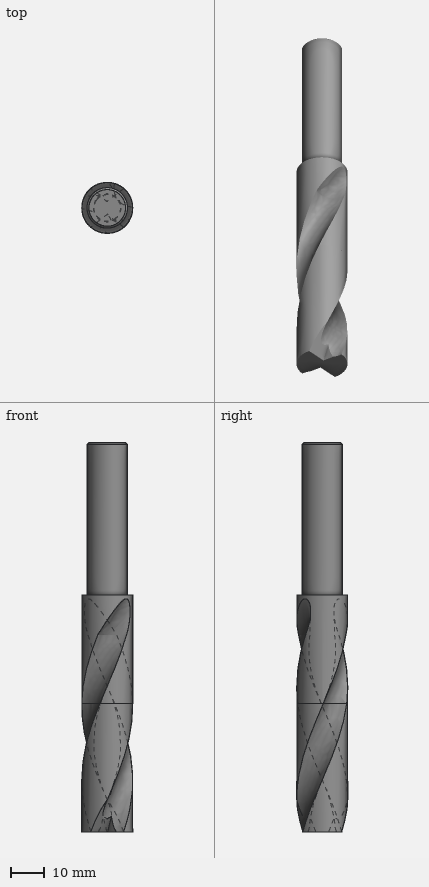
import cadquery as cq
import math

TOTAL_LENGTH = 115.0
DRILL_DIAMETER = 15.1
SHANK_DIAMETER = 12.0
SHOULDER_HEIGHT = 70.0
TIP_LENGTH = 38.0
SHANK_CHAMFER = 0.6

FLUTE_COUNT = 2
FLUTE_LEAD = 110.9
FLUTE_RADIUS = 5.4
CORE_RADIUS = 3.9
FLUTE_CENTER = CORE_RADIUS + FLUTE_RADIUS
FRONT_FACING_HEIGHT = 54.0
HELIX_TOP = 58.2
RUNOUT_TOP = 68.8
RUNOUT_CENTER = 12.9
OVERCUT = 1.2

GASH_TOP = 10.4
GASH_VALLEY = (0.1, -1.8)
GASH_LEAN = (0.24, -0.4)
GASH_LONG_WALL = (-10.4, -8.0)
GASH_SHORT_WALL = (2.9, -2.6)


def flute_angle(height):
    """Direction of the first flute, in degrees from +X, at a given height."""
    return 360.0 * (height - FRONT_FACING_HEIGHT) / FLUTE_LEAD - 90.0


def cutter_center(height, distance):
    angle = math.radians(flute_angle(height))
    return distance * math.cos(angle), distance * math.sin(angle)


def flute_helix():
    """Constant-depth part of a flute."""
    start = -OVERCUT
    length = HELIX_TOP - start
    twist = flute_angle(HELIX_TOP) - flute_angle(start)
    x, y = cutter_center(start, FLUTE_CENTER)
    profile = cq.Workplane("XY", origin=(0, 0, start)).moveTo(x, y).circle(FLUTE_RADIUS)
    return profile.twistExtrude(length, twist)


def flute_runout():
    """Straight slanted end of a flute, where the cutter leaves the drill."""
    sections = []
    for height, distance in ((HELIX_TOP, FLUTE_CENTER), (RUNOUT_TOP, RUNOUT_CENTER)):
        x, y = cutter_center(height, distance)
        sections.append(cq.Wire.makeCircle(FLUTE_RADIUS, cq.Vector(x, y, height), cq.Vector(0, 0, 1)))
    return cq.Workplane(cq.Solid.makeLoft(sections, True))


def gash():
    """Leaning triangular prism that opens the lower end of a flute."""
    sections = []
    for height in (-OVERCUT, GASH_TOP):
        x = GASH_VALLEY[0] + GASH_LEAN[0] * height
        y = GASH_VALLEY[1] + GASH_LEAN[1] * height
        corners = [
            cq.Vector(x, y, height),
            cq.Vector(x + GASH_LONG_WALL[0], y + GASH_LONG_WALL[1], height),
            cq.Vector(x + GASH_SHORT_WALL[0], y + GASH_SHORT_WALL[1], height),
        ]
        sections.append(cq.Wire.makePolygon(corners, close=True))
    return cq.Workplane(cq.Solid.makeLoft(sections, True))


def cut_around(body, cutter):
    """Cut the same shape once for every flute."""
    for index in range(FLUTE_COUNT):
        body = body.cut(cutter.rotate((0, 0, 0), (0, 0, 1), index * 360.0 / FLUTE_COUNT))
    return body


def make_tip():
    tip = cq.Workplane("XY").circle(DRILL_DIAMETER / 2).extrude(TIP_LENGTH)
    tip = cut_around(tip, flute_helix())
    return cut_around(tip, gash())


def make_holder():
    joint = cq.Workplane("XY", origin=(0, 0, TIP_LENGTH))
    holder = joint.circle(DRILL_DIAMETER / 2).extrude(SHOULDER_HEIGHT - TIP_LENGTH)
    holder = cut_around(holder, flute_helix())
    holder = cut_around(holder, flute_runout())
    shoulder = cq.Workplane("XY", origin=(0, 0, SHOULDER_HEIGHT))
    shank = shoulder.circle(SHANK_DIAMETER / 2).extrude(TOTAL_LENGTH - SHOULDER_HEIGHT)
    return holder.union(shank.faces(">Z").chamfer(SHANK_CHAMFER))


tip = make_tip()
holder = make_holder()

result = cq.Compound.makeCompound([tip.val(), holder.val()])